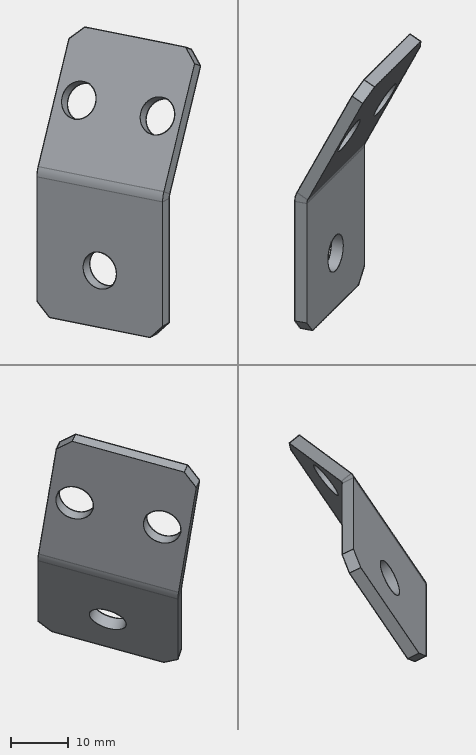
import cadquery as cq

width = 25.4
thickness = 2.286
leg_length = 25.4
bend_angle = 27.0
inner_radius = 1.5875
outer_radius = inner_radius + thickness

corner_cut = 2.54
hole_diameter = 6.7056
lower_hole_height = 10.46
upper_hole_spacing = 15.875
upper_hole_height = 12.7


def leg(corner_end, hole_centers):
    """Flat leg standing on z = 0 with its front face on y = 0.

    The two corners on the corner_end side (">Z" or "<Z") are cut off.
    """
    plate = cq.Workplane("XY").box(width, thickness, leg_length, centered=(True, False, False))
    plate = plate.faces(corner_end).edges("|Y").chamfer(corner_cut)
    holes = (
        cq.Workplane("XZ")
        .pushPoints(hole_centers)
        .circle(hole_diameter / 2)
        .extrude(-thickness)
    )
    return plate.cut(holes)


def bend():
    """Ring sector that joins the legs, starting at the top of the lower leg."""
    section = (
        cq.Workplane("XY")
        .center(0, thickness / 2)
        .rect(width, thickness)
    )
    axis_offset = outer_radius - thickness / 2
    sector = section.revolve(bend_angle, (1, axis_offset, 0), (0, axis_offset, 0))
    return sector.translate((0, 0, leg_length))


def upper_leg():
    """Upper leg, stood on the lower one and swung about the bend axis toward +Y."""
    hole_centers = [(side * upper_hole_spacing / 2, upper_hole_height) for side in (-1, 1)]
    axis_start = (0, outer_radius, leg_length)
    axis_end = (1, outer_radius, leg_length)
    straight = leg(">Z", hole_centers).translate((0, 0, leg_length))
    return straight.rotate(axis_start, axis_end, -bend_angle)


lower_leg = leg("<Z", [(0, lower_hole_height)])
result = lower_leg.union(bend(), clean=False).union(upper_leg(), clean=False)